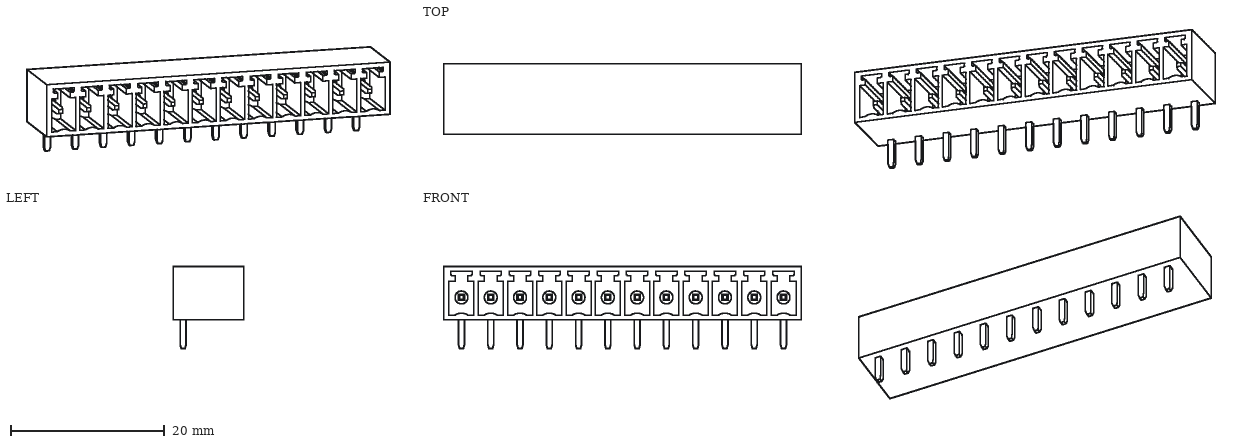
import cadquery as cq

length = 46.5
depth = 9.2
overall_height = 10.7
body_height = 7.0
pin_drop = overall_height - body_height

pole_count = 12
end_margin = 2.33
pitch = (length - 2 * end_margin) / (pole_count - 1)
first_pole_x = end_margin - length / 2
pole_positions = [first_pole_x + i * pitch for i in range(pole_count)]

compartment_depth = 7.0
compartment_half_width = 1.65
floor_z = 0.6
shoulder_z = 5.02
bump_half_width = 0.9
bump_height = 0.3

neck_half_width = 0.85
head_half_width = 1.4
head_z = 5.75
head_top_z = 6.33
head_chamfer = 0.15

pin_width = 0.8
tip_width = 0.5
tip_length = 0.5
contact_z = 2.95
contact_inset = 1.5
collar_radius = 0.85
collar_length = 0.4
tail_inset = 1.3

front_y = -depth / 2
back_y = depth / 2
compartment_back_y = front_y + compartment_depth
tail_y = back_y - tail_inset


def compartment(x):
    """Keyed compartment with a raised, arched rib along its floor."""
    right_side = [
        (bump_half_width, floor_z),
        (compartment_half_width, floor_z),
        (compartment_half_width, shoulder_z),
        (neck_half_width, shoulder_z),
        (neck_half_width, head_z),
        (head_half_width - head_chamfer, head_z),
        (head_half_width, head_z + head_chamfer),
        (head_half_width, head_top_z),
    ]
    left_side = [(-px, pz) for px, pz in reversed(right_side)]
    return (
        cq.Workplane("XZ", origin=(x, front_y, 0))
        .polyline(right_side + left_side)
        .threePointArc((0, floor_z + bump_height), right_side[0])
        .close()
        .extrude(-compartment_depth)
    )


def square_pin(plane, pin_length):
    """Square pin rising from the plane and ending in a tapered tip."""
    shank_length = pin_length - tip_length
    shank = cq.Workplane(plane).rect(pin_width, pin_width).extrude(shank_length)
    tip = (
        shank.faces(cq.selectors.DirectionMinMaxSelector(plane.zDir, True))
        .workplane()
        .rect(pin_width, pin_width)
        .workplane(offset=tip_length)
        .rect(tip_width, tip_width)
        .loft(combine=False)
    )
    return shank.union(tip)


def contact(x):
    """Contact pin and its collar, pointing out of the compartment's back wall."""
    root = cq.Plane(origin=(x, compartment_back_y, contact_z), xDir=(1, 0, 0), normal=(0, -1, 0))
    collar = cq.Workplane(root).circle(collar_radius).extrude(collar_length)
    return collar.union(square_pin(root, compartment_depth - contact_inset))


def solder_tail(x):
    """Solder pin below the housing."""
    root = cq.Plane(origin=(x, tail_y, 0), xDir=(1, 0, 0), normal=(0, 0, -1))
    return square_pin(root, pin_drop)


result = cq.Workplane("XY").box(length, depth, body_height, centered=(True, True, False))
for pole_x in pole_positions:
    result = result.cut(compartment(pole_x))
    result = result.union(contact(pole_x)).union(solder_tail(pole_x))